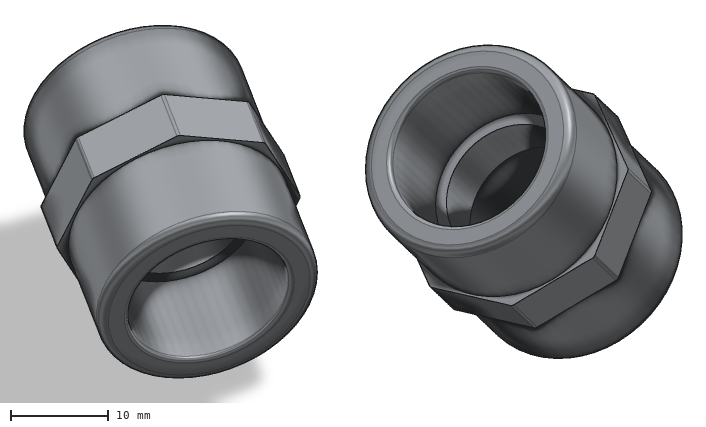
import cadquery as cq
import math

length = 28.8
body_diameter = 23.5
outer_edge_radius = 1.0

grip_width = 6.0
grip_sides = 8
grip_span = 25.9
grip_corner_radius = 0.5

passage_diameter = 14.7
socket_diameter = 17.1
socket_depth = (length - grip_width) / 2
socket_edge_radius = 0.5


def cylinder_along_x(diameter, start, depth):
    """Solid cylinder on the X axis, beginning at X = start."""
    return cq.Workplane("YZ", origin=(start, 0, 0)).circle(diameter / 2).extrude(depth)


def octagonal_grip():
    """Octagonal prism centred on the origin, with rounded corners."""
    corner_loss = grip_corner_radius * (1 / math.cos(math.pi / grip_sides) - 1)
    sharp_span = grip_span + 2 * corner_loss
    grip = cq.Workplane("YZ").polygon(grip_sides, sharp_span).extrude(grip_width / 2, both=True)
    return grip.edges("|X").fillet(grip_corner_radius)


body = cylinder_along_x(body_diameter, -length / 2, length)
body = body.faces("<X or >X").edges().fillet(outer_edge_radius)
result = body.union(octagonal_grip())

result = result.cut(cylinder_along_x(passage_diameter, -length / 2, length))
for socket_start in (-length / 2, length / 2 - socket_depth):
    result = result.cut(cylinder_along_x(socket_diameter, socket_start, socket_depth))

for end in ("<X", ">X"):
    result = result.faces(end).edges(cq.selectors.RadiusNthSelector(0)).fillet(socket_edge_radius)